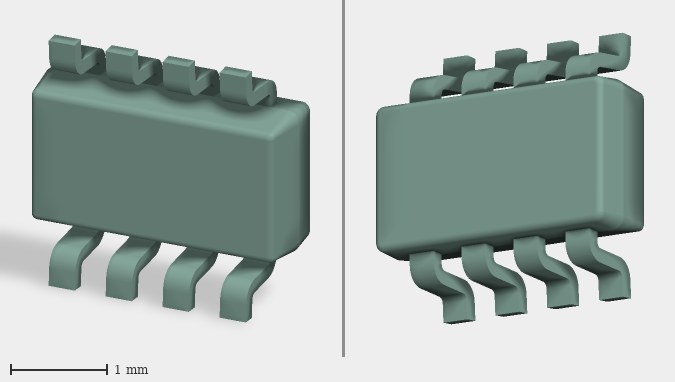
import cadquery as cq
import math

HOUSING_LENGTH = 2.9
HOUSING_HEIGHT = 1.6
CORNER_RADIUS = 0.125
BACK_DEPTH = 0.377
FRONT_DEPTH = 0.522
BACK_DRAFT = 5.0
FRONT_DRAFT = 8.0
BACK_FILLET = 0.07
FRONT_FILLET = 0.075

LEADS_PER_ROW = 4
LEAD_PITCH = 0.65
LEAD_WIDTH = 0.3
LEAD_THICKNESS = 0.15
INNER_BEND = 0.065
OUTER_BEND = INNER_BEND + LEAD_THICKNESS
LEAD_TILT = 4.0
FOOT_LENGTH = 0.203
LEAD_SPAN = 2.8
FOOT_STANDOFF = 0.102


def make_half(depth, draft, fillet, direction):
    """Half of the housing, tapering from the parting plane along direction * Y."""
    plane = cq.Plane(origin=(0, 0, 0), xDir=(1, 0, 0), normal=(0, direction, 0))
    outline = cq.Sketch().rect(HOUSING_LENGTH, HOUSING_HEIGHT).vertices().fillet(CORNER_RADIUS)
    half = cq.Workplane(plane).placeSketch(outline).extrude(depth, taper=draft)
    outer_face = ">Y" if direction > 0 else "<Y"
    return half.faces(outer_face).edges().fillet(fillet)


def polar(center, radius, degrees):
    """Point at a distance and angle from a centre in the YZ plane."""
    angle = math.radians(degrees)
    return (center[0] + radius * math.cos(angle), center[1] + radius * math.sin(angle))


def lead_profile():
    """Closed YZ outline of an upper lead, lying behind the parting plane where it leaves the flank."""
    web_normal = 90 - LEAD_TILT
    foot_start = 180 + LEAD_TILT
    web_end = 180 + web_normal

    tip_rear_z = LEAD_SPAN / 2
    tip_front = (
        -FRONT_DEPTH - FOOT_STANDOFF,
        tip_rear_z - LEAD_THICKNESS * math.sin(math.radians(LEAD_TILT)),
    )
    tip_rear = polar(tip_front, LEAD_THICKNESS, LEAD_TILT)
    foot_front = polar(tip_front, FOOT_LENGTH, LEAD_TILT - 90)
    foot_bend = polar(foot_front, OUTER_BEND, LEAD_TILT)

    shoulder_y = -INNER_BEND
    normal_y, normal_z = polar((0, 0), 1, web_normal)
    web_offset = foot_bend[0] * normal_y + foot_bend[1] * normal_z - INNER_BEND - OUTER_BEND
    shoulder_bend = (shoulder_y, (web_offset - shoulder_y * normal_y) / normal_z)

    root_front_z = HOUSING_HEIGHT / 2
    root_rear_z = root_front_z - LEAD_THICKNESS * math.tan(math.radians(BACK_DRAFT))

    shoulder_middle = web_normal / 2
    foot_middle = (web_end + foot_start) / 2
    return (
        cq.Workplane("YZ")
        .moveTo(0, root_front_z)
        .lineTo(*polar(shoulder_bend, INNER_BEND, 0))
        .threePointArc(
            polar(shoulder_bend, INNER_BEND, shoulder_middle),
            polar(shoulder_bend, INNER_BEND, web_normal),
        )
        .lineTo(*polar(foot_bend, OUTER_BEND, web_end))
        .threePointArc(polar(foot_bend, OUTER_BEND, foot_middle), foot_front)
        .lineTo(*tip_front)
        .lineTo(*tip_rear)
        .lineTo(*polar(foot_bend, INNER_BEND, foot_start))
        .threePointArc(
            polar(foot_bend, INNER_BEND, foot_middle),
            polar(foot_bend, INNER_BEND, web_end),
        )
        .lineTo(*polar(shoulder_bend, OUTER_BEND, web_normal))
        .threePointArc(
            polar(shoulder_bend, OUTER_BEND, shoulder_middle),
            polar(shoulder_bend, OUTER_BEND, 0),
        )
        .lineTo(LEAD_THICKNESS, root_rear_z)
        .close()
    )


def make_leads():
    """All leads: an upper row and its mirror image below."""
    upper_lead = lead_profile().extrude(LEAD_WIDTH / 2, both=True)
    lower_lead = upper_lead.mirror("XY")
    leads = []
    for index in range(LEADS_PER_ROW):
        x = (index - (LEADS_PER_ROW - 1) / 2) * LEAD_PITCH
        leads.append(upper_lead.translate((x, 0, 0)).val())
        leads.append(lower_lead.translate((x, 0, 0)).val())
    return leads


back_half = make_half(BACK_DEPTH, BACK_DRAFT, BACK_FILLET, 1)
front_half = make_half(FRONT_DEPTH, FRONT_DRAFT, FRONT_FILLET, -1)
leads = make_leads()

result = cq.Compound.makeCompound([back_half.val(), front_half.val(), *leads])